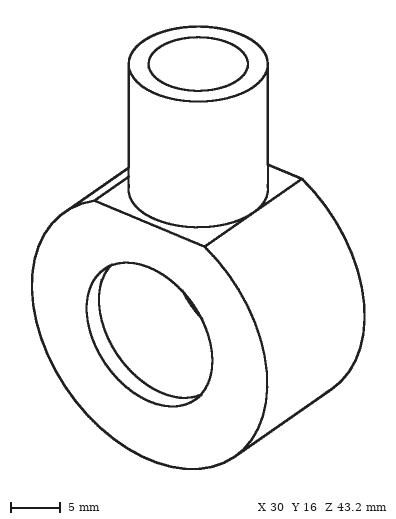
import cadquery as cq
import math

total_height = 43.2
ring_diameter = 29.95
ring_width = 16.0
eye_diameter = 16.0
tube_diameter = 14.0
tube_bore = 10.0
seat_diameter = 19.95

ring_radius = ring_diameter / 2
flat_height = math.sqrt(ring_radius**2 - (tube_diameter / 2) ** 2)
tube_top = total_height - ring_radius


def make_ring():
    """Disc with a flat on top, as wide as the tube."""
    disc = cq.Workplane("XZ").circle(ring_radius).extrude(ring_width / 2, both=True)
    above_flat = (
        cq.Workplane("XY")
        .workplane(offset=flat_height)
        .rect(ring_diameter, ring_width)
        .extrude(ring_radius)
    )
    return disc.cut(above_flat)


def make_tube():
    """Open-topped tube standing on the flat, which closes its lower end."""
    return (
        cq.Workplane("XY")
        .workplane(offset=flat_height)
        .circle(tube_diameter / 2)
        .circle(tube_bore / 2)
        .extrude(tube_top - flat_height)
    )


def make_eye():
    """Through opening that widens into the spherical seat at the ring centre."""
    half_width = ring_width / 2
    eye_radius = eye_diameter / 2
    seat_radius = seat_diameter / 2
    seat_edge = math.sqrt(seat_radius**2 - eye_radius**2)
    return (
        cq.Workplane("XY")
        .moveTo(0, -half_width)
        .lineTo(eye_radius, -half_width)
        .lineTo(eye_radius, -seat_edge)
        .threePointArc((seat_radius, 0), (eye_radius, seat_edge))
        .lineTo(eye_radius, half_width)
        .lineTo(0, half_width)
        .close()
        .revolve(360, (0, 0, 0), (0, 1, 0))
    )


result = make_ring().union(make_tube()).cut(make_eye())